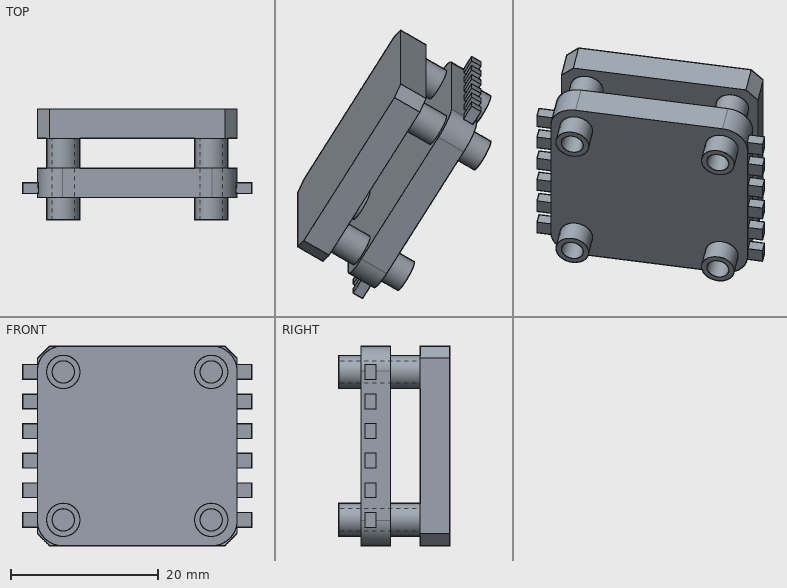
import cadquery as cq

overall_width = 31.0
plate_side = 27.0
plate_thickness = 4.0
plate_gap = 4.0
post_protrusion = 3.0

back_chamfer = 1.65
front_corner_radius = 3.4

post_diameter = 4.5
bore_diameter = 3.0
post_spacing = 20.0

pin_count = 6
pin_height = 2.0
pin_thickness = 1.5
pin_setback = 2.0

front_plate_y = post_protrusion
back_plate_y = front_plate_y + plate_thickness + plate_gap
pin_pitch = post_spacing / (pin_count - 1)
pin_y = front_plate_y + pin_setback - pin_thickness


def square_plate(start_y):
    """Square plate, centred on X and Z, growing toward +Y."""
    return (
        cq.Workplane("XZ", origin=(0, start_y, 0))
        .rect(plate_side, plate_side)
        .extrude(-plate_thickness)
    )


def cylinders(diameter):
    """Four cylinders from the open post ends to the back plate."""
    return (
        cq.Workplane("XZ")
        .rect(post_spacing, post_spacing, forConstruction=True)
        .vertices()
        .circle(diameter / 2)
        .extrude(-back_plate_y)
    )


def pins():
    """Rows of bars spanning the front plate and sticking out on both X sides."""
    return (
        cq.Workplane("XZ", origin=(0, pin_y, 0))
        .rarray(0.3, pin_pitch, 1, pin_count)
        .rect(overall_width, pin_height)
        .extrude(-pin_thickness)
    )


back_plate = square_plate(back_plate_y).edges("|Y").chamfer(back_chamfer)
front_plate = square_plate(front_plate_y).edges("|Y").fillet(front_corner_radius)

result = (
    back_plate.union(front_plate)
    .union(pins())
    .union(cylinders(post_diameter))
    .cut(cylinders(bore_diameter))
)